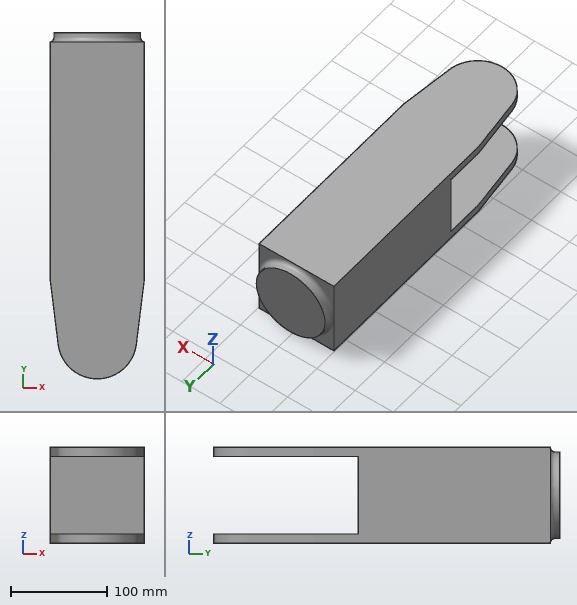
import cadquery as cq
import math

body_width = 98.0
body_height = 100.0
body_length = 199.5

arm_length = 150.0
arm_thickness = 10.0
taper_length = 103.5
tip_radius = 41.0

spigot_diameter = 90.0
spigot_length = 10.0
spigot_fillet = 4.99

tip_y = -arm_length
tip_center_y = tip_y + tip_radius
taper_start_y = tip_y + taper_length
half_width = body_width / 2


def taper_angle():
    """Angle between the Y axis and a tapered side that runs tangent into the round tip."""
    run = taper_start_y - tip_center_y
    distance = math.hypot(half_width, run)
    return math.atan2(half_width, run) - math.asin(tip_radius / distance)


def make_blank():
    """Full-height bar with the tapered, rounded outline of the arms."""
    angle = taper_angle()
    tangent_x = tip_radius * math.cos(angle)
    tangent_y = tip_center_y - tip_radius * math.sin(angle)
    return (
        cq.Workplane("XY", origin=(0, 0, -body_height / 2))
        .moveTo(-half_width, body_length)
        .lineTo(-half_width, taper_start_y)
        .lineTo(-tangent_x, tangent_y)
        .threePointArc((0, tip_y), (tangent_x, tangent_y))
        .lineTo(half_width, taper_start_y)
        .lineTo(half_width, body_length)
        .close()
        .extrude(body_height)
    )


def make_slot():
    """Open gap that separates the two arms."""
    gap = body_height - 2 * arm_thickness
    return cq.Workplane("XY").box(body_width, arm_length, gap).translate((0, -arm_length / 2, 0))


def add_spigot(body):
    """Round spigot on the +Y end face, blended into that face by a fillet."""
    spigot = (
        cq.Workplane("XZ", origin=(0, body_length, 0))
        .circle(spigot_diameter / 2)
        .extrude(-spigot_length)
    )
    root_tolerance = 0.1
    root_box = cq.selectors.BoxSelector(
        (-spigot_diameter, body_length - root_tolerance, -spigot_diameter),
        (spigot_diameter, body_length + root_tolerance, spigot_diameter),
    )
    joined = body.union(spigot)
    return joined.edges("%CIRCLE").edges(root_box).fillet(spigot_fillet)


result = add_spigot(make_blank().cut(make_slot()))